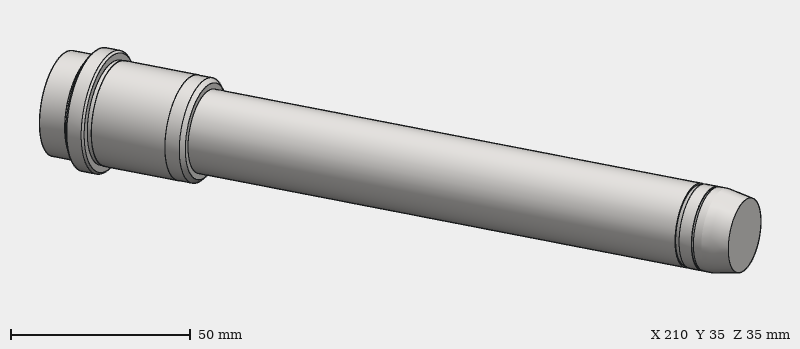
import cadquery as cq

length = 210.0
shaft_diameter = 24.0
head_diameter = 30.0
flange_diameter = 35.0

head_length = 44.3
head_chamfer = 1.3
pilot_start = 38.6
pilot_step = 0.06

flange_start = 9.0
flange_width = 5.7
flange_chamfer = 0.6
relief_width = 1.3
relief_depth = 0.1

tip_grooves = [(194.2, 1.3, 0.5), (199.3, 0.6, 0.2)]
lead_in_length = 7.5
end_diameter = 21.2


def cylinder(start, width, diameter):
    """Solid cylinder on the X axis."""
    return cq.Workplane("YZ", origin=(start, 0, 0)).circle(diameter / 2).extrude(width)


def revolve_about_x(outline):
    """Solid of revolution from a half outline drawn in the XY plane."""
    return outline.close().revolve(360, (0, 0, 0), (1, 0, 0))


def make_shaft():
    """Shaft whose far end tapers to the end diameter."""
    radius = shaft_diameter / 2
    outline = (
        cq.Workplane("XY")
        .lineTo(0, radius)
        .lineTo(length - lead_in_length, radius)
        .lineTo(length, end_diameter / 2)
        .lineTo(length, 0)
    )
    return revolve_about_x(outline)


def make_head():
    """Head and pilot in line, with the chamfer on the end of the pilot."""
    head = cylinder(0, pilot_start, head_diameter)
    pilot = cylinder(pilot_start, head_length - pilot_start, head_diameter - 2 * pilot_step)
    return head.union(pilot.faces(">X").chamfer(head_chamfer))


def make_flange():
    """Flange with both rims chamfered."""
    flange = cylinder(flange_start, flange_width, flange_diameter)
    return flange.faces("<X or >X").edges().chamfer(flange_chamfer)


def relief_groove(start):
    """Square-bottomed ring that cuts into the head."""
    ring = cylinder(start, relief_width, flange_diameter)
    return ring.cut(cylinder(start, relief_width, head_diameter - 2 * relief_depth))


def sawtooth_groove(start, width, depth):
    """Triangular ring that drops straight into the shaft and slopes back out towards the tip."""
    radius = shaft_diameter / 2
    outline = (
        cq.Workplane("XY")
        .moveTo(start, radius)
        .lineTo(start, radius - depth)
        .lineTo(start + width, radius)
    )
    return revolve_about_x(outline)


result = make_shaft().union(make_head())
for relief_start in (flange_start - relief_width, flange_start + flange_width):
    result = result.cut(relief_groove(relief_start))
result = result.union(make_flange())
for groove_start, groove_width, groove_depth in tip_grooves:
    result = result.cut(sawtooth_groove(groove_start, groove_width, groove_depth))